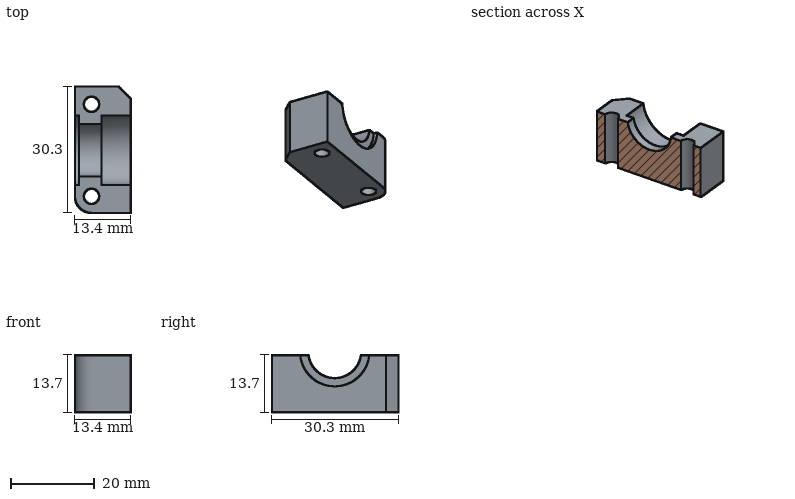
import cadquery as cq

length_x = 13.42
length_y = 30.3
height = 13.7
corner_radius = 4.0
corner_chamfer = 3.0

hole_diameter = 3.6
hole_spacing = 22.0
hole_x = corner_radius
first_hole_y = corner_radius

bore_y = first_hole_y + hole_spacing / 2
bore_axis_rise = 0.8
bore_axis_z = height + bore_axis_rise
narrow_radius = 6.3
shoulder_width = 2.0
wide_radius = narrow_radius + shoulder_width
front_recess_depth = 1.0
narrow_length = 5.4
rear_recess_depth = length_x - front_recess_depth - narrow_length


def make_block():
    block = cq.Workplane("XY").box(length_x, length_y, height, centered=False)
    block = block.edges("|Z and <X and <Y").fillet(corner_radius)
    return block.edges("|Z and >X and >Y").chamfer(corner_chamfer)


def bore_section(radius, start_x, section_length):
    """Cylinder on the bore axis, running in +X from start_x."""
    return (
        cq.Workplane("YZ", origin=(start_x, bore_y, bore_axis_z))
        .circle(radius)
        .extrude(section_length)
    )


def screw_holes():
    centres = [(hole_x, first_hole_y), (hole_x, first_hole_y + hole_spacing)]
    return cq.Workplane("XY").pushPoints(centres).circle(hole_diameter / 2).extrude(height)


result = (
    make_block()
    .cut(bore_section(narrow_radius, 0, length_x))
    .cut(bore_section(wide_radius, 0, front_recess_depth))
    .cut(bore_section(wide_radius, length_x - rear_recess_depth, rear_recess_depth))
    .cut(screw_holes())
)